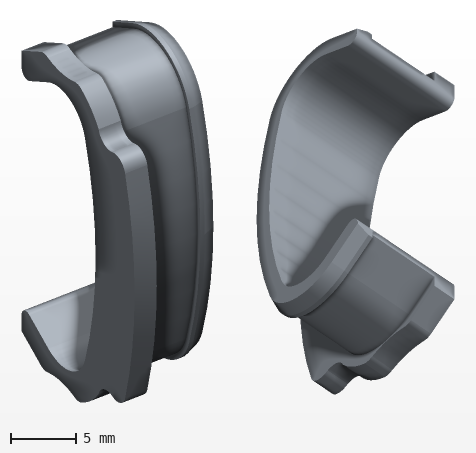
import cadquery as cq
import math

depth = 9.8
flange_depth = 2.03
rim_depth = 1.48
rim_land = 0.4
rim_start = depth - rim_depth
taper_start = rim_start + rim_land

wall = 1.48
rim_wall = 1.95
crown_x = 5.5
crown_z = 9.68
crown_radius = 3.5
arm_angle = math.radians(30)
tip_radius = 0.73
spine_inner_x = 10.38
spine_outer_x = 15.85

height = 30.25
top_z = height / 2
arm_end_z = 13.4
valley_half_width = 1.8
valley_edge_z = 15.03
valley_floor_z = 14.75
arm_crest_start = (2.75, 15.0)
arm_crest_x = 3.27
back_crest_x = 7.8
back_crest_end = (8.2, 15.05)
back_bulge = (9.35, 14.3)
notch_start = (10.8, 12.65)
notch_floor = (11.45, 11.77)
notch_end = (12.58, 11.62)
shoulder_start = (12.77, 11.68)
shoulder_bulge = (13.98, 11.53)
spine_corner_z = 10.75

ledge_projection = 0.1
ledge_top_z = 11.92
ledge_overlap = 0.05

spine_offset = spine_inner_x - crown_x
spine_radius = (crown_z**2 + spine_offset**2 - crown_radius**2) / (2 * (spine_offset - crown_radius))
spine_center_x = spine_inner_x - spine_radius
join_angle = math.atan2(crown_z, crown_x - spine_center_x)


def crown_point(angle, offset):
    radius = crown_radius + offset
    return crown_x + radius * math.cos(angle), crown_z + radius * math.sin(angle)


def spine_point(angle, offset):
    radius = spine_radius + offset
    return spine_center_x + radius * math.cos(angle), radius * math.sin(angle)


def arm_line_z(x, offset):
    """Height of the straight arm surface at x, offset outward from the inner surface."""
    line_x, line_z = crown_point(math.pi / 2 + arm_angle, offset)
    return line_z + (x - line_x) * math.tan(arm_angle)


def section(y):
    """Sketch plane at depth y, with local axes along X and Z."""
    return cq.Workplane("XZ", origin=(0, y, 0))


def inner_edge(sketch):
    """Draw the inner surface from the mid-plane up to the rounded arm tip."""
    tip_z = arm_line_z(tip_radius, 0) + tip_radius / math.cos(arm_angle)
    tangent_angle = arm_angle - math.pi / 2
    middle_angle = (tangent_angle - math.pi) / 2

    def tip_point(angle):
        return tip_radius * (1 + math.cos(angle)), tip_z + tip_radius * math.sin(angle)

    return (
        sketch.moveTo(spine_inner_x, 0)
        .threePointArc(spine_point(join_angle / 2, 0), spine_point(join_angle, 0))
        .threePointArc(crown_point(math.pi / 3, 0), crown_point(math.pi / 2 + arm_angle, 0))
        .lineTo(*tip_point(tangent_angle))
        .threePointArc(tip_point(middle_angle), (0, tip_z))
    )


def band(y, thickness):
    """Upper half of the constant-thickness clip profile."""
    return (
        inner_edge(section(y))
        .lineTo(0, arm_line_z(0, thickness))
        .lineTo(*crown_point(math.pi / 2 + arm_angle, thickness))
        .threePointArc(crown_point(math.pi / 3, thickness), spine_point(join_angle, thickness))
        .threePointArc(spine_point(join_angle / 2, thickness), (spine_inner_x + thickness, 0))
        .close()
    )


def ledge_section(y, thickness):
    """Upright strip over the arm end, bounded outside by the rim surface."""
    return section(y).polyline([
        (-ledge_projection, ledge_top_z),
        (ledge_overlap, ledge_top_z),
        (ledge_overlap, arm_line_z(ledge_overlap, thickness)),
        (-ledge_projection, arm_line_z(-ledge_projection, thickness)),
    ]).close()


def rim_sweep(profile):
    """Extrude a profile along the rim land, then taper it to the sleeve thickness."""
    land = profile(rim_start, rim_wall).extrude(-rim_land)
    start_wire = profile(taper_start, rim_wall).wire().val()
    end_wire = profile(depth, wall).wire().val()
    taper = cq.Solid.makeLoft([start_wire, end_wire], True)
    return land.union(cq.Workplane(taper))


def half_flange():
    """Upper half of the thick front flange with its grip valley and shoulder."""
    outer_offset = spine_outer_x - spine_inner_x
    corner_angle = math.asin(spine_corner_z / (spine_radius + outer_offset))
    valley_left = crown_x - valley_half_width
    valley_right = crown_x + valley_half_width
    return (
        inner_edge(section(0))
        .lineTo(0, arm_end_z)
        .lineTo(*arm_crest_start)
        .threePointArc((arm_crest_x, top_z), (valley_left, valley_edge_z))
        .threePointArc((crown_x, valley_floor_z), (valley_right, valley_edge_z))
        .threePointArc((back_crest_x, top_z), back_crest_end)
        .threePointArc(back_bulge, notch_start)
        .threePointArc(notch_floor, notch_end)
        .lineTo(*shoulder_start)
        .threePointArc(shoulder_bulge, spine_point(corner_angle, outer_offset))
        .threePointArc(spine_point(corner_angle / 2, outer_offset), (spine_outer_x, 0))
        .close()
        .extrude(-flange_depth)
    )


sleeve = band(0, wall).extrude(-depth)
upper_half = half_flange().union(sleeve).union(rim_sweep(band))
lower_half = upper_half.mirror("XY")
lower_ledge = rim_sweep(ledge_section).mirror("XY")

result = upper_half.union(lower_half).union(lower_ledge).clean()